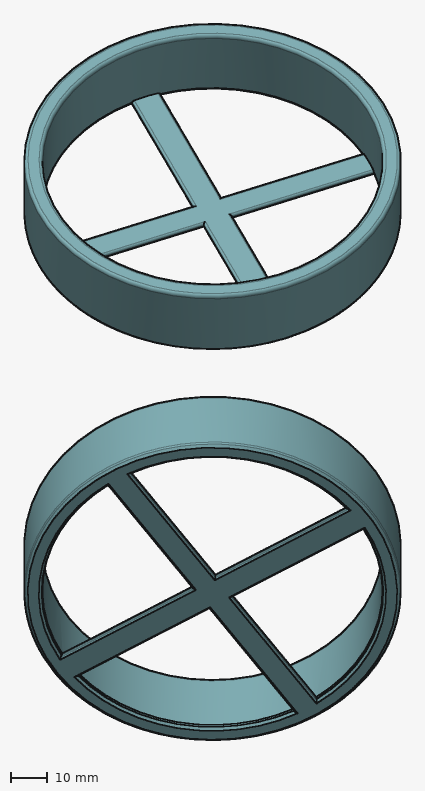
import cadquery as cq

outer_diameter = 102.5
bore_diameter = 92.5
height = 22.0
rim_fillet = 1.0

x_bar_width = 8.3
y_bar_width = 7.4
bar_thickness = 1.8
bar_edge_fillet = 0.67

ring_base_chamfer = 1.0
ring_blend_radius = 0.8
bar_base_chamfer = 0.6
bar_blend_radius = 0.5

outer_radius = outer_diameter / 2
bore_radius = bore_diameter / 2
wall_middle_radius = (outer_radius + bore_radius) / 2


def soften_base(body, base_chamfer, blend_radius):
    """Chamfer all base edges, then blend each chamfer into the wall above it."""
    chamfered = body.faces("<Z").edges().chamfer(base_chamfer)
    chamfer_tops = cq.selectors.BoxSelector(
        (-outer_diameter, -outer_diameter, 0.99 * base_chamfer),
        (outer_diameter, outer_diameter, 1.01 * base_chamfer),
    )
    return chamfered.edges(chamfer_tops).fillet(blend_radius)


def make_ring():
    """Ring with rounded rim edges and a softened base."""
    ring = cq.Workplane("XY").circle(outer_radius).circle(bore_radius).extrude(height)
    ring = ring.faces(">Z").edges().fillet(rim_fillet)
    return soften_base(ring, ring_base_chamfer, ring_blend_radius)


def make_cross():
    """Two crossing bars with rounded upper edges and a softened base, ending inside the ring wall."""
    x_bar = cq.Workplane("XY").rect(outer_diameter, x_bar_width).extrude(bar_thickness)
    y_bar = cq.Workplane("XY").rect(y_bar_width, outer_diameter).extrude(bar_thickness)
    cross = soften_base(x_bar.union(y_bar), bar_base_chamfer, bar_blend_radius)
    cross = cross.faces(">Z").edges().fillet(bar_edge_fillet)
    envelope = cq.Workplane("XY").circle(wall_middle_radius).extrude(bar_thickness)
    return cross.intersect(envelope)


result = make_ring().union(make_cross())